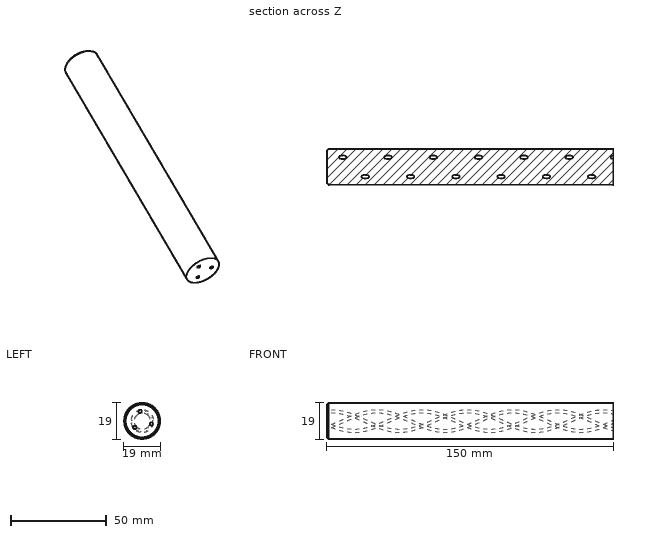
import cadquery as cq
import math

bar_length = 150.0
bar_diameter = 19.0
end_chamfer = 0.95

channel_count = 3
channel_diameter = 1.7
pitch_radius = 5.1
first_channel_angle = 78.0
helix_angle = 40.0


def make_bar():
    """Cylinder starting at X = 0, chamfered on its -X end only."""
    bar = cq.Workplane("YZ").circle(bar_diameter / 2).extrude(bar_length)
    return bar.faces("<X").chamfer(end_chamfer)


def make_channels():
    """All channels, twisted together about the bar's axis."""
    helix_lead = math.pi * bar_diameter / math.tan(math.radians(helix_angle))
    twist = 360 * bar_length / helix_lead
    return (
        cq.Workplane("YZ")
        .polarArray(pitch_radius, first_channel_angle, 360, channel_count)
        .circle(channel_diameter / 2)
        .twistExtrude(bar_length, twist)
    )


result = make_bar().cut(make_channels())